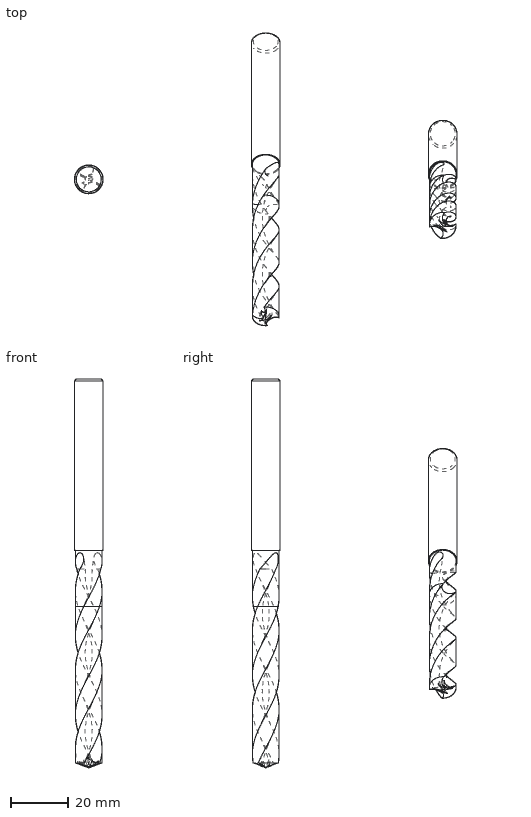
import cadquery as cq
import math

total_length = 136.0
shank_diameter = 10.0
shank_length = 60.0
shank_chamfer = 0.7
drill_diameter = 9.4
point_height = 1.8
cutting_length = 56.5

flute_count = 2
flute_pitch = 55.1
flute_radius = 2.9
flute_offset = 4.1
flute_start_angle = -83.0
flute_top = 69.5
runout_height = 5.7
runout_turn = 38.0

gash_inner_x = 0.4
gash_inner_y = -0.3
gash_inner_z = 0.4
gash_depth = 2.7
gash_left_width = 3.8
gash_right_width = 1.5
gash_run = (1.6, -1.4, 4.9)

drill_radius = drill_diameter / 2
shank_bottom = total_length - shank_length


def make_flute(start_angle):
    """Helical channel of round section with a straight run-out that leaves the drill outward."""
    twist = 360.0 * flute_top / flute_pitch
    helix = (
        cq.Workplane("XY")
        .pushPoints([(flute_offset, 0)])
        .circle(flute_radius)
        .twistExtrude(flute_top, twist)
    )
    end_distance = drill_radius + flute_radius
    outward = end_distance * math.cos(math.radians(runout_turn)) - flute_offset
    sideways = end_distance * math.sin(math.radians(runout_turn))
    end_circle = cq.Wire.makeCircle(
        flute_radius, cq.Vector(flute_offset, 0, flute_top), cq.Vector(0, 0, 1)
    )
    runout = cq.Solid.extrudeLinear(
        end_circle, [], cq.Vector(outward, sideways, runout_height)
    )
    runout = runout.rotate(cq.Vector(0, 0, 0), cq.Vector(0, 0, 1), twist)
    return [
        tool.rotate(cq.Vector(0, 0, 0), cq.Vector(0, 0, 1), start_angle)
        for tool in (helix.val(), runout)
    ]


def cut_flutes(body):
    for i in range(flute_count):
        for tool in make_flute(flute_start_angle + i * 360.0 / flute_count):
            body = body.cut(cq.Workplane(tool))
    return body


def make_gash():
    """Sloping V-section wedge whose ridge rises from the point into the first flute."""
    bottom_z = gash_inner_z - gash_depth
    section = cq.Wire.makePolygon(
        [
            cq.Vector(gash_inner_x, gash_inner_y, gash_inner_z),
            cq.Vector(gash_inner_x - gash_left_width, gash_inner_y, bottom_z),
            cq.Vector(gash_inner_x + gash_right_width, gash_inner_y, bottom_z),
        ],
        close=True,
    )
    return cq.Solid.extrudeLinear(section, [], cq.Vector(*gash_run))


def cut_gashes(body):
    for i in range(flute_count):
        angle = i * 360.0 / flute_count
        gash = make_gash().rotate(cq.Vector(0, 0, 0), cq.Vector(0, 0, 1), angle)
        body = body.cut(cq.Workplane(gash))
    return body


def make_cutting_end():
    """Pointed lower part of the drill."""
    blank = (
        cq.Workplane("XZ")
        .polyline(
            [
                (0, 0),
                (drill_radius, point_height),
                (drill_radius, cutting_length),
                (0, cutting_length),
            ]
        )
        .close()
        .revolve(360, (0, 0, 0), (0, 1, 0))
    )
    return cut_gashes(cut_flutes(blank))


def make_shank():
    """Plain shank with a chamfered top and the upper stretch of the fluted neck."""
    neck = (
        cq.Workplane("XY", origin=(0, 0, cutting_length))
        .circle(drill_radius)
        .extrude(shank_bottom - cutting_length)
    )
    neck = cut_flutes(neck)
    handle = (
        cq.Workplane("XY", origin=(0, 0, shank_bottom))
        .circle(shank_diameter / 2)
        .extrude(shank_length)
        .faces(">Z")
        .chamfer(shank_chamfer)
    )
    return neck.union(handle)


cutting_end = make_cutting_end()
shank = make_shank()
result = cq.Compound.makeCompound([cutting_end.val(), shank.val()])